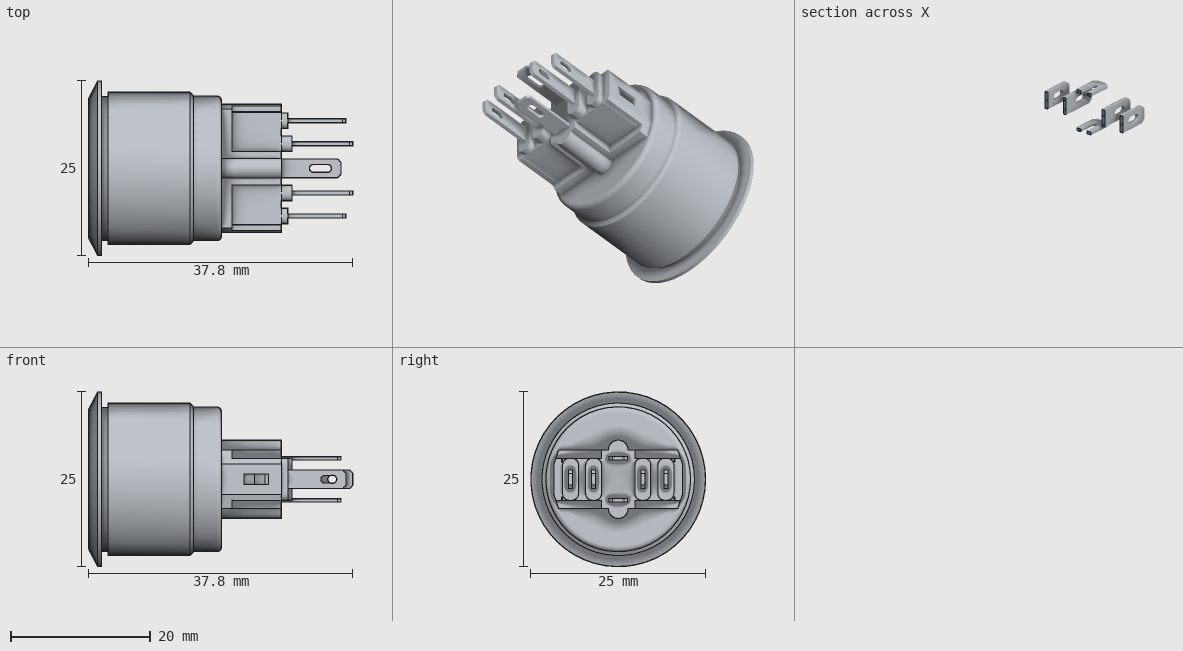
import cadquery as cq


FACE_DIA = 20.0
RIM_DIA = 25.0
NECK_DIA = 20.6
BARREL_DIA = 21.8
REAR_DIA = 20.7
BEVEL_END_X = 1.3
RIM_END_X = 1.85
NECK_END_X = 2.8
BARREL_END_X = 14.5
TAPER_END_X = 15.0
CASE_END_X = 19.0
CASE_FILLET = 0.7

BLOCK_END_X = 27.55
BLOCK_LENGTH = BLOCK_END_X - CASE_END_X
BLOCK_HALF_Y = 9.2
BLOCK_TOP_HALF_Y = 8.5
BLOCK_HALF_Z = 4.2
BLOCK_SIDE_HALF_Z = 2.17

RIDGE_RADIUS = 1.4
RIDGE_TOP_Z = 5.6

RECESS_START_X = 20.5
RECESS_LENGTH = BLOCK_END_X - RECESS_START_X
RECESS_INNER_Y = 2.4
RECESS_FLOOR_Z = 3.0
SLIT_INNER_Y = 8.0
SLIT_WIDTH = 0.1
SLIT_DEPTH = 0.5

WINDOW_START_X = 22.2
RAMP_START_X = 23.75
RAMP_END_X = 25.25
WINDOW_END_X = 25.75
WINDOW_HEIGHT = 1.55
WINDOW_FLOOR_Y = SLIT_INNER_Y + SLIT_WIDTH
LATCH_DEPTH = 0.25

BLADE_WIDTH = 2.7
FLAT_BLADE_THICKNESS = 0.5
UPRIGHT_BLADE_THICKNESS = 0.6
BLADE_CORNER = 0.5
SLOT_WIDTH = 1.1
FLAT_BLADE_Z = 3.0
FLAT_BLADE_END_X = 36.1
FLAT_SLOT_LENGTH = 3.1
FLAT_SLOT_TO_TIP = 1.4
OUTER_BLADE_Y = 6.82
OUTER_BLADE_END_X = 36.8
INNER_BLADE_Y = 3.52
INNER_BLADE_END_X = 37.8
UPRIGHT_SLOT_LENGTH = 2.25
UPRIGHT_SLOT_TO_TIP = 1.35

COLLAR_CORNER_DIA = 1.85
COLLAR_WIDTH = 2.25
COLLAR_HEIGHT = 2 * RECESS_FLOOR_Z
OUTER_COLLAR_END_X = 28.5
INNER_COLLAR_END_X = 29.1

SIDES = (-1, 1)


def make_case():
    profile = [
        (0, 0),
        (0, FACE_DIA / 2),
        (BEVEL_END_X, RIM_DIA / 2),
        (RIM_END_X, RIM_DIA / 2),
        (RIM_END_X, NECK_DIA / 2),
        (NECK_END_X, NECK_DIA / 2),
        (NECK_END_X, BARREL_DIA / 2),
        (BARREL_END_X, BARREL_DIA / 2),
        (TAPER_END_X, REAR_DIA / 2),
        (CASE_END_X, REAR_DIA / 2),
        (CASE_END_X, 0),
    ]
    case = cq.Workplane("XY").polyline(profile).close().revolve(360, (0, 0, 0), (1, 0, 0))
    return case.faces(">X").edges().fillet(CASE_FILLET)


def box_between(x_range, y_range, z_range):
    """Box spanning the given (start, end) pairs along X, Y and Z."""
    spans = [sorted(pair) for pair in (x_range, y_range, z_range)]
    sizes = [end - start for start, end in spans]
    corner = tuple(start for start, end in spans)
    return cq.Workplane("XY").box(*sizes, centered=False).translate(corner)


def make_ridge(side):
    center_z = RIDGE_TOP_Z - RIDGE_RADIUS
    return (
        cq.Workplane("YZ", origin=(CASE_END_X, 0, 0))
        .moveTo(-RIDGE_RADIUS, 0)
        .lineTo(-RIDGE_RADIUS, side * center_z)
        .threePointArc((0, side * RIDGE_TOP_Z), (RIDGE_RADIUS, side * center_z))
        .lineTo(RIDGE_RADIUS, 0)
        .close()
        .extrude(BLOCK_LENGTH)
    )


def make_recess(y_side, z_side):
    x_range = (RECESS_START_X, BLOCK_END_X)
    recess = box_between(
        x_range,
        (y_side * RECESS_INNER_Y, y_side * BLOCK_HALF_Y),
        (z_side * RECESS_FLOOR_Z, z_side * BLOCK_HALF_Z),
    )
    slit = box_between(
        x_range,
        (y_side * SLIT_INNER_Y, y_side * (SLIT_INNER_Y + SLIT_WIDTH)),
        (z_side * (RECESS_FLOOR_Z - SLIT_DEPTH), z_side * BLOCK_HALF_Z),
    )
    return recess.union(slit)


def make_window(y_side):
    latch_y = BLOCK_HALF_Y - LATCH_DEPTH
    outline = [
        (WINDOW_START_X, y_side * BLOCK_HALF_Y),
        (WINDOW_START_X, y_side * WINDOW_FLOOR_Y),
        (RAMP_START_X, y_side * WINDOW_FLOOR_Y),
        (RAMP_END_X, y_side * latch_y),
        (WINDOW_END_X, y_side * latch_y),
        (WINDOW_END_X, y_side * BLOCK_HALF_Y),
    ]
    return cq.Workplane("XY").polyline(outline).close().extrude(WINDOW_HEIGHT / 2, both=True)


def make_block():
    octagon = [
        (-BLOCK_HALF_Y, -BLOCK_SIDE_HALF_Z),
        (-BLOCK_TOP_HALF_Y, -BLOCK_HALF_Z),
        (BLOCK_TOP_HALF_Y, -BLOCK_HALF_Z),
        (BLOCK_HALF_Y, -BLOCK_SIDE_HALF_Z),
        (BLOCK_HALF_Y, BLOCK_SIDE_HALF_Z),
        (BLOCK_TOP_HALF_Y, BLOCK_HALF_Z),
        (-BLOCK_TOP_HALF_Y, BLOCK_HALF_Z),
        (-BLOCK_HALF_Y, BLOCK_SIDE_HALF_Z),
    ]
    block = (
        cq.Workplane("YZ", origin=(CASE_END_X, 0, 0))
        .polyline(octagon)
        .close()
        .extrude(BLOCK_LENGTH)
    )
    for y_side in SIDES:
        block = block.cut(make_window(y_side))
        for z_side in SIDES:
            block = block.cut(make_recess(y_side, z_side))
    for z_side in SIDES:
        block = block.union(make_ridge(z_side))
    return block


def make_blade(end_x, thickness, slot_length, slot_to_tip):
    """Slotted blade lying flat on the XY plane, from the block's rear face to end_x."""
    blade = box_between(
        (BLOCK_END_X, end_x),
        (-BLADE_WIDTH / 2, BLADE_WIDTH / 2),
        (-thickness / 2, thickness / 2),
    )
    blade = blade.edges("|Z and >X").chamfer(BLADE_CORNER)
    slot_center_x = end_x - slot_to_tip - slot_length / 2
    slot = (
        cq.Workplane("XY")
        .center(slot_center_x, 0)
        .slot2D(slot_length, SLOT_WIDTH)
        .extrude(thickness, both=True)
    )
    return blade.cut(slot)


def make_flat_terminal(z_side):
    blade = make_blade(FLAT_BLADE_END_X, FLAT_BLADE_THICKNESS, FLAT_SLOT_LENGTH, FLAT_SLOT_TO_TIP)
    return blade.translate((0, 0, z_side * FLAT_BLADE_Z))


def make_upright_terminal(y, blade_end_x, collar_end_x):
    blade = make_blade(
        blade_end_x, UPRIGHT_BLADE_THICKNESS, UPRIGHT_SLOT_LENGTH, UPRIGHT_SLOT_TO_TIP
    ).rotate((0, 0, 0), (1, 0, 0), 90)
    collar = box_between(
        (BLOCK_END_X, collar_end_x),
        (-COLLAR_WIDTH / 2, COLLAR_WIDTH / 2),
        (-COLLAR_HEIGHT / 2, COLLAR_HEIGHT / 2),
    )
    collar = collar.edges("|X").fillet(COLLAR_CORNER_DIA / 2)
    return collar.union(blade).translate((0, y, 0))


result = make_case().union(make_block())
for side in SIDES:
    result = result.union(make_flat_terminal(side))
    result = result.union(
        make_upright_terminal(side * OUTER_BLADE_Y, OUTER_BLADE_END_X, OUTER_COLLAR_END_X)
    )
    result = result.union(
        make_upright_terminal(side * INNER_BLADE_Y, INNER_BLADE_END_X, INNER_COLLAR_END_X)
    )